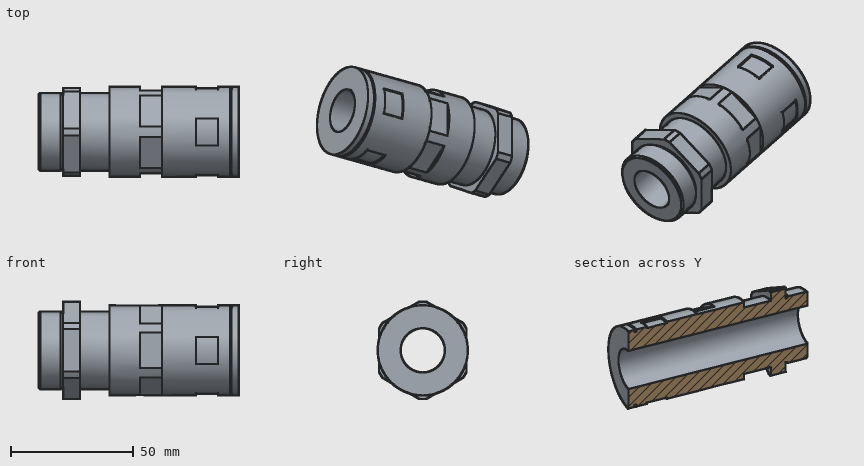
import cadquery as cq

TOTAL_LENGTH = 82.0
THREAD_CHAMFER = 0.7
RUNOUT_START = 9.0
NUT_START = 10.0
NUT_END = 17.0
BODY_START = 29.0
HEX_START = 41.6
HEX_END = 50.5
POCKET_START = 64.4
POCKET_END = 73.5
GROOVE_START = 78.4
GROOVE_END = 79.0

BORE_DIAMETER = 18.0
THREAD_DIAMETER = 32.0
RUNOUT_DEPTH = 0.75
BODY_DIAMETER = 37.0
CAP_DIAMETER = 37.02
GROOVE_DIAMETER = 35.0
CUT_CLEARANCE = 1.0
NUT_ACROSS_FLATS = 36.0
NUT_CORNER_DIAMETER = 40.0
BODY_ACROSS_FLATS = 34.0
POCKET_FLOOR_DIAMETER = 35.8
POCKET_WIDTH = 11.1
POCKET_COUNT = 4


def cylinder(x_start, x_end, diameter):
    """Solid cylinder on the X axis between two stations."""
    return cq.Workplane("YZ", origin=(x_start, 0, 0)).circle(diameter / 2).extrude(x_end - x_start)


def rounded_hexagon(x_start, x_end, across_flats, corner_diameter):
    """Hexagonal prism with flats facing +-Y and corners turned down to a cylinder."""
    prism = (
        cq.Workplane("YZ", origin=(x_start, 0, 0))
        .polygon(6, across_flats, circumscribed=True)
        .extrude(x_end - x_start)
    )
    return prism.intersect(cylinder(x_start, x_end, corner_diameter))


def threaded_end():
    """Smooth threaded length, chamfered at its tip and tapered into the nut, plus the neck behind it."""
    thread_radius = THREAD_DIAMETER / 2
    profile = (
        cq.Workplane("XY")
        .polyline([
            (0, 0),
            (0, thread_radius - THREAD_CHAMFER),
            (THREAD_CHAMFER, thread_radius),
            (RUNOUT_START, thread_radius),
            (NUT_START, thread_radius - RUNOUT_DEPTH),
            (NUT_START, 0),
        ])
        .close()
    )
    tip = profile.revolve(360, (0, 0, 0), (1, 0, 0))
    neck = cylinder(NUT_START, BODY_START, THREAD_DIAMETER)
    return tip.union(neck)


def body():
    """Round body with six wrench flats next to the cap."""
    barrel = cylinder(BODY_START, HEX_START, BODY_DIAMETER)
    return barrel.union(rounded_hexagon(HEX_START, HEX_END, BODY_ACROSS_FLATS, BODY_DIAMETER))


def pockets():
    """Shallow windows with a round floor, spaced evenly around the cap."""
    length = POCKET_END - POCKET_START
    window = cq.Workplane("XY", origin=(POCKET_START, 0, 0)).box(
        length, POCKET_WIDTH, CAP_DIAMETER, centered=(False, True, False)
    )
    tools = cq.Workplane("XY")
    for index in range(POCKET_COUNT):
        angle = index * 360 / POCKET_COUNT
        tools = tools.add(window.rotate((0, 0, 0), (1, 0, 0), angle))
    return tools.combine().cut(cylinder(POCKET_START, POCKET_END, POCKET_FLOOR_DIAMETER))


def cap():
    """Cap with locking windows and a narrow groove ahead of its end ring."""
    shell = cylinder(HEX_END, TOTAL_LENGTH, CAP_DIAMETER)
    groove = cylinder(GROOVE_START, GROOVE_END, CAP_DIAMETER + CUT_CLEARANCE).cut(
        cylinder(GROOVE_START, GROOVE_END, GROOVE_DIAMETER)
    )
    return shell.cut(groove).cut(pockets())


nut = rounded_hexagon(NUT_START, NUT_END, NUT_ACROSS_FLATS, NUT_CORNER_DIAMETER)
bore = cylinder(0, TOTAL_LENGTH, BORE_DIAMETER)
result = threaded_end().union(nut).union(body()).union(cap()).cut(bore)